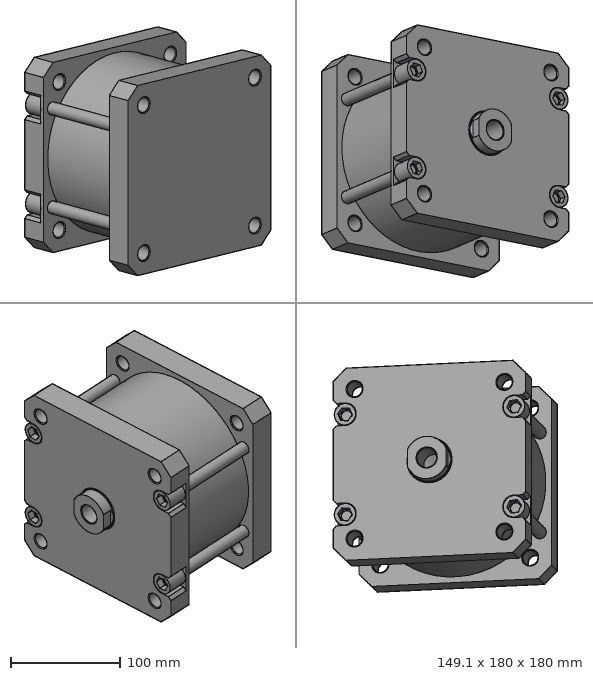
import cadquery as cq
import math

PLATE_SIDE = 180.0
PLATE_THICKNESS = 25.0
PLATE_CORNER_CHAMFER = 12.0
BARREL_LENGTH = 87.1
BARREL_DIAMETER = 169.4

MOUNT_HOLE_DIAMETER = 14.0
MOUNT_HOLE_OFFSET = 70.0
MOUNT_HOLE_CHAMFER = 0.9

BOLT_OFFSET_Y = 79.0
BOLT_OFFSET_Z = 46.8
BOLT_DIAMETER = 12.0
HEAD_DIAMETER = 20.0
HEAD_LENGTH = 20.9
BOLT_END_DEPTH = 18.0
SLOT_WIDTH = 21.0
SLOT_MOUTH_CHAMFER = 3.0
SOCKET_SIDES = 6
SOCKET_ACROSS_FLATS = 11.7
SOCKET_DEPTH = 7.0
SOCKET_TURN = 6.0
SOCKET_RELIEF_DIAMETER = 9.9
SOCKET_RELIEF_DEPTH = 1.0

ROD_DIAMETER = 40.0
ROD_PROTRUSION = 12.0
ROD_TIP_DIAMETER = 39.6
ROD_TIP_LENGTH = 11.5
ROD_FLAT_WIDTH = 36.0
ROD_FLAT_LENGTH = 9.9
ROD_BORE_DIAMETER = 18.4
ROD_BORE_DEPTH = 30.0
ROD_BORE_TIP_ANGLE = 118.0
ROD_BORE_CHAMFER = 0.7
ROD_HOLE_CHAMFER = 1.0

OVERALL_LENGTH = ROD_PROTRUSION + 2 * PLATE_THICKNESS + BARREL_LENGTH
ROD_TIP_X = -OVERALL_LENGTH / 2
FRONT_PLATE_X = ROD_TIP_X + ROD_PROTRUSION
BARREL_X = FRONT_PLATE_X + PLATE_THICKNESS
REAR_PLATE_X = BARREL_X + BARREL_LENGTH

SIGNS = (-1, 1)
MOUNT_HOLE_POINTS = [(y * MOUNT_HOLE_OFFSET, z * MOUNT_HOLE_OFFSET) for y in SIGNS for z in SIGNS]
BOLT_POINTS = [(y * BOLT_OFFSET_Y, z * BOLT_OFFSET_Z) for y in SIGNS for z in SIGNS]


def section_plane(x):
    """YZ plane at station x: local axes are Y and Z, extrusion runs toward +X."""
    return cq.Workplane("YZ", origin=(x, 0, 0))


def cone(x, large_radius, small_radius, length, y=0, z=0):
    """Cone along X that narrows from large_radius at x to small_radius at x + length."""
    direction = cq.Vector(math.copysign(1, length), 0, 0)
    solid = cq.Solid.makeCone(large_radius, small_radius, abs(length), cq.Vector(x, y, z), direction)
    return cq.Workplane(obj=solid)


def make_plate(x):
    """Square plate with cut corners and four mounting holes chamfered at both faces."""
    plate = (
        section_plane(x)
        .rect(PLATE_SIDE, PLATE_SIDE)
        .extrude(PLATE_THICKNESS)
        .edges("|X")
        .chamfer(PLATE_CORNER_CHAMFER)
    )
    hole_radius = MOUNT_HOLE_DIAMETER / 2
    holes = section_plane(x).pushPoints(MOUNT_HOLE_POINTS).circle(hole_radius)
    plate = plate.cut(holes.extrude(PLATE_THICKNESS))
    mouth_radius = hole_radius + MOUNT_HOLE_CHAMFER
    for y, z in MOUNT_HOLE_POINTS:
        plate = plate.cut(cone(x, mouth_radius, hole_radius, MOUNT_HOLE_CHAMFER, y, z))
        plate = plate.cut(cone(x + PLATE_THICKNESS, mouth_radius, hole_radius, -MOUNT_HOLE_CHAMFER, y, z))
    return plate


def make_head_slot(side, z):
    """Round-ended slot open to the plate side, with a chamfered mouth."""
    half_width = SLOT_WIDTH / 2
    mouth_half_width = half_width + SLOT_MOUTH_CHAMFER
    edge_y = side * PLATE_SIDE / 2
    chamfer_y = edge_y - side * SLOT_MOUTH_CHAMFER
    center_y = side * BOLT_OFFSET_Y
    return (
        section_plane(FRONT_PLATE_X)
        .moveTo(edge_y, z + mouth_half_width)
        .lineTo(chamfer_y, z + half_width)
        .lineTo(center_y, z + half_width)
        .threePointArc((center_y - side * half_width, z), (center_y, z - half_width))
        .lineTo(chamfer_y, z - half_width)
        .lineTo(edge_y, z - mouth_half_width)
        .close()
        .extrude(HEAD_LENGTH)
    )


def make_front_plate():
    """Rod-end plate with the rod hole, the bolt holes and the head slots."""
    plate = make_plate(FRONT_PLATE_X)
    plate = plate.cut(section_plane(FRONT_PLATE_X).circle(ROD_DIAMETER / 2).extrude(PLATE_THICKNESS))
    hole_mouth_radius = ROD_DIAMETER / 2 + ROD_HOLE_CHAMFER
    plate = plate.cut(cone(FRONT_PLATE_X, hole_mouth_radius, ROD_DIAMETER / 2, ROD_HOLE_CHAMFER))
    bolt_holes = section_plane(FRONT_PLATE_X).pushPoints(BOLT_POINTS).circle(BOLT_DIAMETER / 2)
    plate = plate.cut(bolt_holes.extrude(PLATE_THICKNESS))
    for side in SIGNS:
        for level in SIGNS:
            plate = plate.cut(make_head_slot(side, level * BOLT_OFFSET_Z))
    return plate


def make_rear_plate():
    """Closed end plate with blind holes for the bolt ends."""
    bolt_holes = section_plane(REAR_PLATE_X).pushPoints(BOLT_POINTS).circle(BOLT_DIAMETER / 2)
    return make_plate(REAR_PLATE_X).cut(bolt_holes.extrude(BOLT_END_DEPTH))


def make_barrel():
    """Round body between the two plates."""
    return section_plane(BARREL_X).circle(BARREL_DIAMETER / 2).extrude(BARREL_LENGTH)


def make_rod():
    """Piston rod through the front plate, with two wrench flats and a blind bore."""
    rod_radius = ROD_DIAMETER / 2
    rod = section_plane(ROD_TIP_X).circle(rod_radius).extrude(ROD_PROTRUSION + PLATE_THICKNESS)

    tip_clearance = section_plane(ROD_TIP_X).circle(rod_radius).circle(ROD_TIP_DIAMETER / 2)
    rod = rod.cut(tip_clearance.extrude(ROD_TIP_LENGTH))

    flat_y = ROD_FLAT_WIDTH / 2
    flat_end_x = ROD_TIP_X + ROD_FLAT_LENGTH
    runout_end_x = flat_end_x + rod_radius - flat_y
    for side in SIGNS:
        flat_cut = (
            cq.Workplane("XY")
            .polyline([
                (ROD_TIP_X, side * flat_y),
                (flat_end_x, side * flat_y),
                (runout_end_x, side * rod_radius),
                (ROD_TIP_X, side * rod_radius),
            ])
            .close()
            .extrude(rod_radius, both=True)
        )
        rod = rod.cut(flat_cut)

    bore_radius = ROD_BORE_DIAMETER / 2
    tip_length = bore_radius / math.tan(math.radians(ROD_BORE_TIP_ANGLE / 2))
    rod = rod.cut(section_plane(ROD_TIP_X).circle(bore_radius).extrude(ROD_BORE_DEPTH))
    rod = rod.cut(cone(ROD_TIP_X + ROD_BORE_DEPTH, bore_radius, 0, tip_length))
    return rod.cut(cone(ROD_TIP_X, bore_radius + ROD_BORE_CHAMFER, bore_radius, ROD_BORE_CHAMFER))


def make_bolt(y, z):
    """Socket-head tie bolt from the front face into the rear plate."""
    bolt_length = REAR_PLATE_X + BOLT_END_DEPTH - FRONT_PLATE_X
    socket_corners = SOCKET_ACROSS_FLATS / math.cos(math.pi / SOCKET_SIDES)
    socket_turn = math.copysign(SOCKET_TURN, y)
    base = section_plane(FRONT_PLATE_X).center(y, z)
    head = base.circle(HEAD_DIAMETER / 2).extrude(HEAD_LENGTH)
    shank = base.circle(BOLT_DIAMETER / 2).extrude(bolt_length)
    turned_base = base.transformed(rotate=(0, 0, socket_turn))
    socket = turned_base.polygon(SOCKET_SIDES, socket_corners).extrude(SOCKET_DEPTH)
    relief = base.circle(SOCKET_RELIEF_DIAMETER / 2).extrude(SOCKET_DEPTH + SOCKET_RELIEF_DEPTH)
    return head.union(shank).cut(socket).cut(relief)


front_plate = make_front_plate()
rear_plate = make_rear_plate()
barrel = make_barrel()
rod = make_rod()
bolts = [make_bolt(y, z) for y, z in BOLT_POINTS]

result = cq.Compound.makeCompound([
    front_plate.val(),
    rear_plate.val(),
    barrel.val(),
    rod.val(),
    *[bolt.val() for bolt in bolts],
])